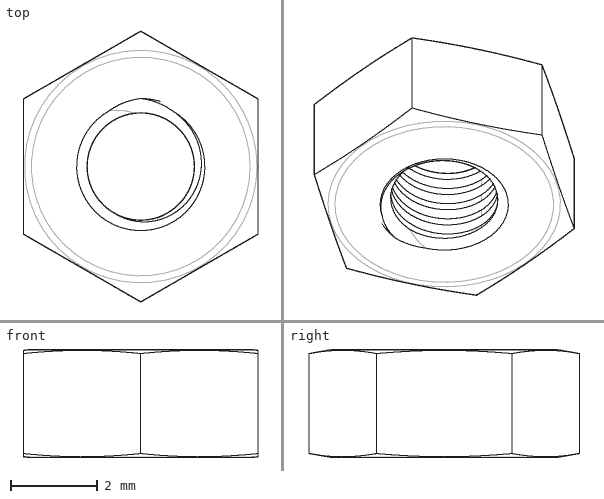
import cadquery as cq
import math

width_across_flats = 5.43
height = 2.5
hexagon_sides = 6
corner_radius = width_across_flats / 2 / math.cos(math.pi / hexagon_sides)

bearing_radius = 2.53
blend_end_radius = 2.69
corner_slope = math.radians(10)
envelope_margin = 0.5

hole_radius = 1.24
countersink_radius = 1.484
countersink_slope = math.radians(30)

pitch = 0.5
thread_root_radius = 1.575
thread_crest_width = 0.2
root_exit_angle = 90
spare_turns = 0.8
mouth_overlap = 0.06


def hexagon():
    prism = cq.Workplane("XY").polygon(hexagon_sides, 2 * corner_radius).extrude(height)
    corner_to_flat_angle = 180 / hexagon_sides
    return prism.rotate((0, 0, 0), (0, 0, 1), corner_to_flat_angle)


def corner_envelope():
    """Revolved solid whose ends slope away towards the hexagon corners."""
    blend_radius = (blend_end_radius - bearing_radius) / math.sin(corner_slope)
    half_slope = corner_slope / 2
    blend_middle_radius = bearing_radius + blend_radius * math.sin(half_slope)
    blend_middle_drop = blend_radius * (1 - math.cos(half_slope))
    blend_end_drop = blend_radius * (1 - math.cos(corner_slope))
    outer_radius = corner_radius + envelope_margin
    outer_drop = blend_end_drop + (outer_radius - blend_end_radius) * math.tan(corner_slope)
    return (
        cq.Workplane("XZ")
        .lineTo(bearing_radius, 0)
        .threePointArc((blend_middle_radius, blend_middle_drop), (blend_end_radius, blend_end_drop))
        .lineTo(outer_radius, outer_drop)
        .lineTo(outer_radius, height - outer_drop)
        .lineTo(blend_end_radius, height - blend_end_drop)
        .threePointArc((blend_middle_radius, height - blend_middle_drop), (bearing_radius, height))
        .lineTo(0, height)
        .close()
        .revolve(360, (0, 0), (0, 1))
    )


def bore():
    return cq.Workplane("XY").circle(hole_radius).extrude(height)


def countersinks():
    """Pair of full cones that widen the hole at both end faces."""
    cone_length = countersink_radius * math.tan(countersink_slope)
    lower_cone = cq.Workplane(cq.Solid.makeCone(countersink_radius, 0, cone_length))
    upper_cone = lower_cone.mirror("XY").translate((0, 0, height))
    return lower_cone, upper_cone


def thread_groove():
    """Right-hand V groove whose root meets both end faces on the +Y side."""
    flank_slope = (pitch - thread_crest_width) / 2 / (thread_root_radius - hole_radius)
    mouth_radius = hole_radius - mouth_overlap
    mouth_half_width = flank_slope * (thread_root_radius - mouth_radius)
    spare_length = spare_turns * pitch
    helix = cq.Wire.makeHelix(pitch, height + 2 * spare_length, hole_radius)
    groove = (
        cq.Workplane("XZ")
        .moveTo(thread_root_radius, 0)
        .lineTo(mouth_radius, mouth_half_width)
        .lineTo(mouth_radius, -mouth_half_width)
        .close()
        .sweep(cq.Workplane(helix), isFrenet=True)
    )
    start_angle = root_exit_angle - 360 * spare_turns
    return groove.rotate((0, 0, 0), (0, 0, 1), start_angle).translate((0, 0, -spare_length))


blank = hexagon().intersect(corner_envelope())
nut = blank.cut(thread_groove()).cut(bore())
for countersink in countersinks():
    nut = nut.cut(countersink)
result = nut.solids()